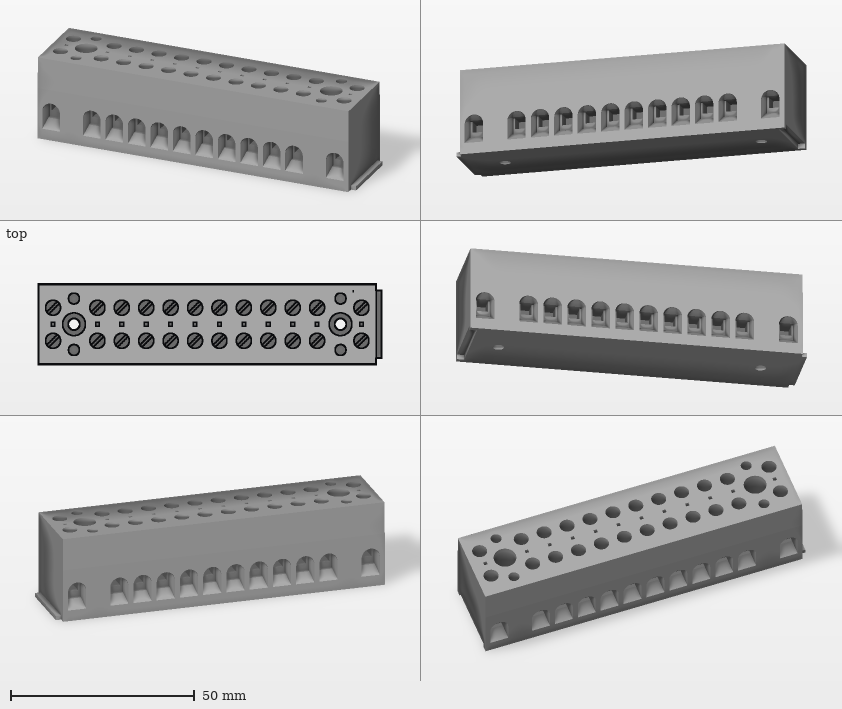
import cadquery as cq

overall_length = 93.5
tongue_length = 1.5
body_length = overall_length - tongue_length
base_width = 22.0
top_width = 21.5
height = 24.0
shoulder_height = 15.0
mid_x = body_length / 2

tongue_width = 18.4
tongue_height = 1.2
recess_width = 19.0
recess_height = 1.4
recess_length = 2.0

middle_pole_count = 10
pole_pitch = 6.65
end_pole_offset = 42.0
first_pole_x = mid_x - pole_pitch * (middle_pole_count - 1) / 2
middle_poles = [first_pole_x + i * pole_pitch for i in range(middle_pole_count)]
pole_positions = [mid_x - end_pole_offset] + middle_poles + [mid_x + end_pole_offset]

screw_y = 4.5
screw_diameter = 4.1
screw_well_depth = height - shoulder_height
slot_width = 0.8
slot_depth = 0.5
slot_angle = 45

test_hole_side = 1.0
test_hole_depth = 3.0

mount_offset = 36.3
mount_diameter = 3.1
counterbore_diameter = 6.2
counterbore_depth = height - shoulder_height
blind_hole_diameter = 3.0
blind_hole_y = 7.0
blind_hole_depth = 5.0
mount_points = [(mid_x + side * mount_offset, 0) for side in (-1, 1)]
blind_points = [(x, side * blind_hole_y) for x, _ in mount_points for side in (-1, 1)]

entry_width = 5.2
entry_floor = 3.1
entry_top = 11.0
funnel_depth = 3.0
throat_width = 4.1
throat_floor = 5.3
throat_top = 10.2
throat_length = 1.0
clamp_side = 3.1
clamp_depth = 4.0


def make_body():
    """Housing with upright lower walls and slightly leaning upper walls."""
    half_base = base_width / 2
    half_top = top_width / 2
    section = [
        (-half_base, 0),
        (half_base, 0),
        (half_base, shoulder_height),
        (half_top, height),
        (-half_top, height),
        (-half_base, shoulder_height),
    ]
    return cq.Workplane("YZ").polyline(section).close().extrude(body_length)


def make_end_block(x, length, width, block_height):
    """Block standing on the base plane, centred across the width."""
    block = cq.Workplane("XY").box(length, width, block_height, centered=(False, True, False))
    return block.translate((x, 0, 0))


def make_screw_well():
    """Round well with a slot sunk into its floor, measured down from the top face."""
    slot_floor = screw_well_depth + slot_depth
    well = cq.Workplane("XY").circle(screw_diameter / 2).extrude(-screw_well_depth)
    slot_limit = cq.Workplane("XY").circle(screw_diameter / 2).extrude(-slot_floor)
    slot = cq.Workplane("XY").rect(screw_diameter, slot_width).extrude(-slot_floor)
    slot = slot.rotate((0, 0, 0), (0, 0, 1), slot_angle)
    return well.union(slot.intersect(slot_limit))


def make_arch_limit():
    """Upright half-round-headed prism that bounds the funnel."""
    half = entry_width / 2
    spring = entry_top - half
    outline = cq.Workplane("XZ", origin=(0, -base_width / 2, 0)).moveTo(-half, entry_floor)
    outline = outline.lineTo(half, entry_floor).lineTo(half, spring)
    return outline.threePointArc((0, entry_top), (-half, spring)).close().extrude(-funnel_depth)


def make_inner_cut(width, floor, start, depth):
    """Rectangular cut from a start depth behind the -Y wall, level with the throat roof."""
    cut = cq.Workplane("XY").box(width, depth, throat_top - floor, centered=(True, False, False))
    return cut.translate((0, start - base_width / 2, floor))


def make_wire_entry():
    """Cutter for one wire entry in the -Y wall, centred on X = 0."""
    entry_height = entry_top - entry_floor
    throat_height = throat_top - throat_floor
    mid_height = entry_floor + entry_height / 2
    centre_rise = throat_floor + throat_height / 2 - mid_height
    mouth = cq.Workplane("XZ", origin=(0, -base_width / 2, mid_height)).rect(entry_width, entry_height)
    back = mouth.workplane(offset=-funnel_depth).center(0, centre_rise)
    pyramid = back.rect(throat_width, throat_height).loft(ruled=True)
    throat = make_inner_cut(throat_width, throat_floor, funnel_depth, throat_length)
    clamp_floor = throat_top - clamp_side
    clamp = make_inner_cut(clamp_side, clamp_floor, funnel_depth + throat_length, clamp_depth)
    return pyramid.intersect(make_arch_limit()).union(throat).union(clamp)


def make_pole_cutters():
    """Both wire entries, both screw wells and the test hole of a pole centred on X = 0."""
    entry = make_wire_entry()
    well = make_screw_well()
    test_hole = cq.Workplane("XY").rect(test_hole_side, test_hole_side).extrude(-test_hole_depth)
    return [
        entry,
        entry.mirror("XZ"),
        well.translate((0, -screw_y, height)),
        well.translate((0, screw_y, height)),
        test_hole.translate((0, 0, height)),
    ]


def cut_mounting_holes(part):
    """Counterbored through holes and the blind holes beside them."""
    top = cq.Workplane("XY", origin=(0, 0, height))
    part = part.cut(top.pushPoints(mount_points).circle(mount_diameter / 2).extrude(-height))
    part = part.cut(top.pushPoints(mount_points).circle(counterbore_diameter / 2).extrude(-counterbore_depth))
    return part.cut(top.pushPoints(blind_points).circle(blind_hole_diameter / 2).extrude(-blind_hole_depth))


result = make_body()
result = result.union(make_end_block(body_length, tongue_length, tongue_width, tongue_height))
result = result.cut(make_end_block(0, recess_length, recess_width, recess_height))
pole_cutters = make_pole_cutters()
for pole_x in pole_positions:
    for cutter in pole_cutters:
        result = result.cut(cutter.translate((pole_x, 0, 0)))
result = cut_mounting_holes(result)